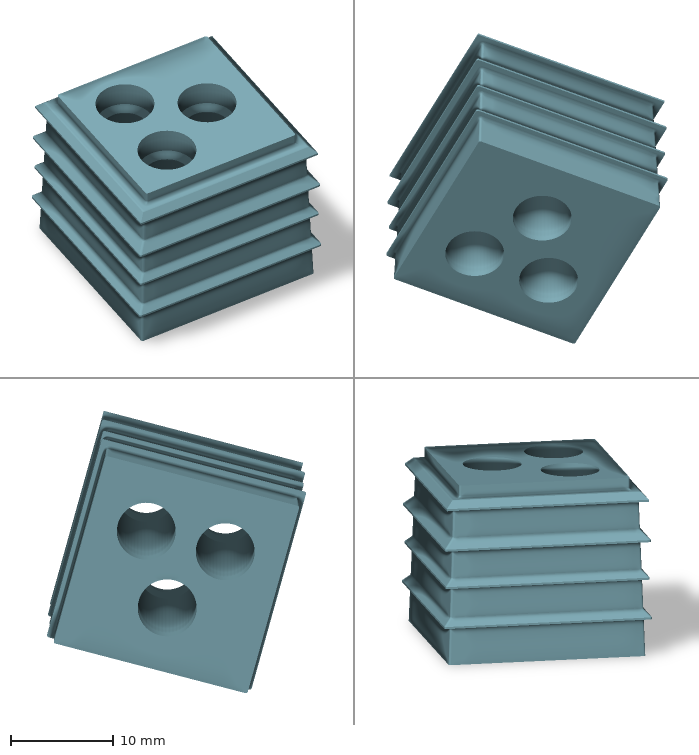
import cadquery as cq
import math

total_height = 17.7
shoulder_height = 16.47
base_half_width = 9.83
draft_slope = math.tan(math.radians(2))
corner_radius = 0.2
foot_radius = 0.2

plate_half_width = 8.52
plate_height = total_height - shoulder_height

ribs = [
    (3.77, 0.2, 10.37),
    (7.74, 0.2, 10.18),
    (11.53, 0.2, 10.29),
]

collar_underside = 15.55
collar_tip_thickness = 0.2
collar_half_width = 10.1

hole_centers = [(0, 3.48), (-4.0, -3.48), (4.0, -3.48)]
bore_radius = 2.88
lip_radius = 2.26
bore_depth = 2.57
lip_depth = 3.17
lip_thickness = 0.2

edge_tolerance = 0.01


def body_half_width(height):
    return base_half_width - draft_slope * height


def rounded_square(half_width, radius):
    outline = cq.Sketch().rect(2 * half_width, 2 * half_width)
    if radius > 0:
        outline = outline.vertices().fillet(radius)
    return outline


def square_frustum(bottom, bottom_half, top, top_half, radius):
    """Square frustum whose every level has the same corner radius."""
    rise = cq.Location(cq.Vector(0, 0, top - bottom))
    return (
        cq.Workplane("XY", origin=(0, 0, bottom))
        .placeSketch(rounded_square(bottom_half, radius), rounded_square(top_half, radius).moved(rise))
        .loft(ruled=True)
    )


def rib(underside, thickness, tip_half, top, radius):
    """Flat-bottomed rib with a square tip and a 45 degree slope up to its top height."""
    slope_start = underside + thickness
    tip = square_frustum(underside, tip_half, slope_start, tip_half, radius)
    slope = square_frustum(slope_start, tip_half, top, tip_half - (top - slope_start), radius)
    return tip.union(slope)


def rib_meeting_height(underside, thickness, tip_half):
    """Height at which the rib's 45 degree slope reaches the tapered body."""
    line_intercept = tip_half + underside + thickness
    return (line_intercept - base_half_width) / (1 - draft_slope)


def round_foot(part, height, half_width):
    """Fillet the inside edges where the given square outline meets a wider step."""
    reach = half_width + edge_tolerance
    ring = cq.selectors.BoxSelector(
        (-reach, -reach, height - edge_tolerance),
        (reach, reach, height + edge_tolerance),
        boundingbox=True,
    )
    return part.edges(ring).fillet(foot_radius)


def cable_hole(x, y):
    """Cutter for one hole: bore, cone, thin lip, then a bore out through the base."""
    lip_top = total_height - lip_depth
    lip_bottom = lip_top - lip_thickness
    cone_top = total_height - bore_depth
    return (
        cq.Workplane("XZ", origin=(x, y, 0))
        .moveTo(0, 0)
        .lineTo(bore_radius, 0)
        .lineTo(bore_radius, lip_bottom)
        .lineTo(lip_radius, lip_bottom)
        .lineTo(lip_radius, lip_top)
        .lineTo(bore_radius, cone_top)
        .lineTo(bore_radius, total_height)
        .lineTo(0, total_height)
        .close()
        .revolve(360, (0, 0, 0), (0, 1, 0))
    )


body = square_frustum(0, base_half_width, shoulder_height, body_half_width(shoulder_height), corner_radius)

for underside, thickness, tip_half in ribs:
    meeting = rib_meeting_height(underside, thickness, tip_half)
    body = body.union(rib(underside, thickness, tip_half, meeting, corner_radius))
    body = round_foot(body, underside, body_half_width(underside))
    body = round_foot(body, meeting, body_half_width(meeting))

body = body.union(rib(collar_underside, collar_tip_thickness, collar_half_width, shoulder_height, 0))
body = body.faces(">Z").edges().fillet(foot_radius)
body = round_foot(body, collar_underside, body_half_width(collar_underside))

body = (
    body.faces(">Z")
    .workplane(origin=(0, 0))
    .rect(2 * plate_half_width, 2 * plate_half_width)
    .extrude(plate_height)
)
body = round_foot(body, shoulder_height, plate_half_width)
plate_zone = cq.selectors.BoxSelector(
    (-base_half_width, -base_half_width, shoulder_height),
    (base_half_width, base_half_width, total_height),
)
body = body.edges("|Z").edges(plate_zone).fillet(corner_radius)

for x, y in hole_centers:
    body = body.cut(cable_hole(x, y))

result = body